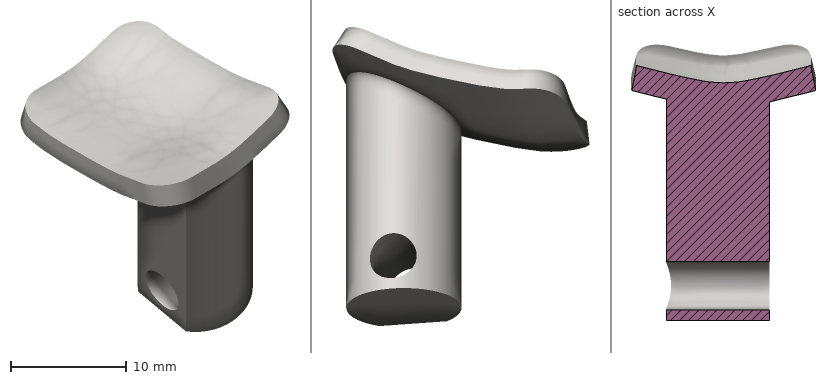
import cadquery as cq
import math

POST_RADIUS = 5.0
FLAT_DISTANCE = 4.0
POST_BLANK_HEIGHT = 26.31
HOLE_DIAMETER = 4.15
HOLE_HEIGHT = 3.04

PLATE_LEFT = -15.35
PLATE_LENGTH = 20.6
PLATE_WIDTH = 16.0
CORNER_RADIUS = 3.0
PLATE_THICKNESS = 2.0

FRONT_SLOPE = -0.1
MIDDLE_SLOPE = 0.3
REAR_SLOPE = 0.57
FRONT_BEND_X = -11.03
FRONT_BEND_Z = 14.52
REAR_BEND_X = -1.32
BEND_SOFTNESS = 2.15

VALLEY_SLOPE = 0.26
VALLEY_SOFTNESS = 2.4

SURFACE_MARGIN = 0.95
SURFACE_STEPS_X = 30
SURFACE_STEPS_Y = 24


def soft_ramp(distance):
    """Zero before the bend, rising with unit slope after it, rounded between."""
    return (distance + math.hypot(distance, BEND_SOFTNESS)) / 2


def underside_height(x, y):
    centreline = (
        FRONT_BEND_Z
        + FRONT_SLOPE * (x - FRONT_BEND_X)
        + (MIDDLE_SLOPE - FRONT_SLOPE) * soft_ramp(x - FRONT_BEND_X)
        + (REAR_SLOPE - MIDDLE_SLOPE) * soft_ramp(x - REAR_BEND_X)
    )
    valley = VALLEY_SLOPE * (math.hypot(y, VALLEY_SOFTNESS) - VALLEY_SOFTNESS)
    return centreline + valley


def make_underside():
    """Smooth surface reaching a little past the plate outline."""
    start_x = PLATE_LEFT - SURFACE_MARGIN
    start_y = -PLATE_WIDTH / 2 - SURFACE_MARGIN
    step_x = (PLATE_LENGTH + 2 * SURFACE_MARGIN) / SURFACE_STEPS_X
    step_y = (PLATE_WIDTH + 2 * SURFACE_MARGIN) / SURFACE_STEPS_Y
    rows = []
    for i in range(SURFACE_STEPS_X + 1):
        x = start_x + i * step_x
        ys = [start_y + j * step_y for j in range(SURFACE_STEPS_Y + 1)]
        rows.append([cq.Vector(x, y, underside_height(x, y)) for y in ys])
    return cq.Face.makeSplineApprox(rows, tol=0.02, minDeg=3, maxDeg=5)


def make_plate(underside):
    """Trim the underside to the outline and thicken it along its normals."""
    outline = (
        cq.Workplane("XY")
        .center(PLATE_LEFT + PLATE_LENGTH / 2, 0)
        .rect(PLATE_LENGTH, PLATE_WIDTH)
        .extrude(POST_BLANK_HEIGHT)
        .edges("|Z")
        .fillet(CORNER_RADIUS)
    )
    trimmed = underside.intersect(outline.val()).Faces()[0]
    upward = math.copysign(1, trimmed.normalAt().z)
    return cq.Workplane(obj=trimmed.thicken(upward * PLATE_THICKNESS))


def make_post(underside):
    """Flatted bar ending on the underside, with a cross hole near its foot."""
    bar = cq.Workplane("XY").circle(POST_RADIUS).extrude(POST_BLANK_HEIGHT)
    flat_cutter = (
        cq.Workplane("XY")
        .center(0, -FLAT_DISTANCE - POST_RADIUS)
        .rect(2 * POST_RADIUS, 2 * POST_RADIUS)
        .extrude(POST_BLANK_HEIGHT)
    )
    hole = (
        cq.Workplane("XZ")
        .center(0, HOLE_HEIGHT)
        .circle(HOLE_DIAMETER / 2)
        .extrude(POST_RADIUS, both=True)
    )
    space_above = cq.Solid.extrudeLinear(underside, cq.Vector(0, 0, POST_BLANK_HEIGHT))
    return bar.cut(flat_cutter).cut(hole).cut(cq.Workplane(obj=space_above))


underside_surface = make_underside()
result = make_post(underside_surface).union(make_plate(underside_surface))